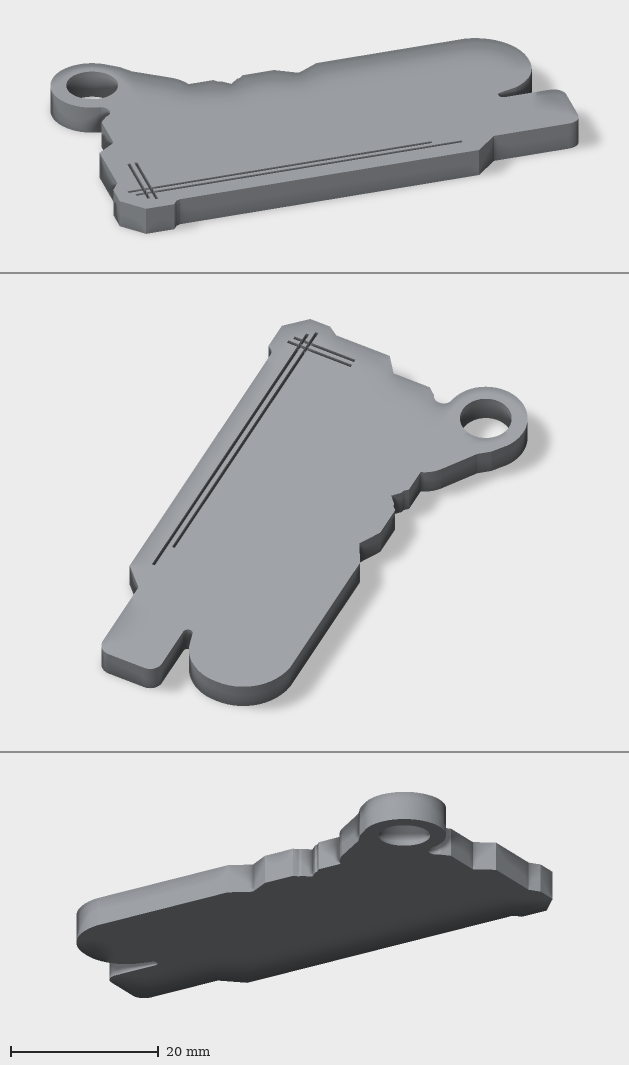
import cadquery as cq


thickness = 4.0
overall_x = 37.73
overall_y = 66.24

hole_diameter = 7.0
ring_radius = 5.65
ring_x = ring_radius
ring_y = ring_radius

left_edge = 9.18
right_edge = 36.75
notch_depth = 1.65

crotch_start = (11.2, 4.7)
crotch_crest = (12.5, 6.0)
crotch_end = (13.8, 5.1)

near_step_left = 14.92
near_step_right = 20.41
near_step_y = 4.12
middle_step_left = 22.28
middle_step_right = 30.39
middle_step_y = 1.57

foot_left = 31.84
foot_right = 34.83
foot_y = 0.55
foot_side_low = 3.37
foot_side_high = 7.36
foot_shoulder = (37.0, 7.91)
right_edge_low = 8.48

tab_left = 24.95
tab_right = 33.93
tab_corner_radius = 1.8
shoulder_low = 50.82
shoulder_high = 53.77
slot_side_y = 58.0
slot_bottom = (24.3, 57.4)
slot_exit = (23.75, 57.6)

lobe_left_y = 57.26
lobe_crest = (17.0, 64.0)
lobe_end = (23.0, 60.3)
lobe_right_bulge = (21.0, 62.75)
lobe_left_bulge = (11.5, 61.95)

upper_notch_y = 33.3
upper_notch_half = 3.0
lower_notch_y = 23.75
lower_notch_half = 2.05
lower_notch_outer_step = (0.55, 1.55)
lower_notch_inner_step = (0.65, 1.1)

neck_top_y = 18.2
neck_bend = (7.8, 17.4)
neck_bend_end = (6.94, 16.47)
neck_points = [(3.82, 11.85), (2.3, 10.6), (1.32, 9.28)]

groove_width = 0.45
groove_depth = 1.0
long_grooves = [(32.94, 2.32, 45.28), (33.95, 3.1, 49.27)]
cross_grooves = [(5.52, 26.1, 35.75), (4.52, 26.1, 35.3)]


def corner_midpoint(center_x, center_y, radius, side):
    """Middle of an upper corner arc; side is -1 for left, +1 for right."""
    offset = radius * 0.5 ** 0.5
    return center_x + side * offset, center_y + offset


def add_lower_edge(outline):
    """Stepped edge from the ring eye to the foot corner at the right."""
    return (
        outline.threePointArc(crotch_crest, crotch_end)
        .lineTo(near_step_left, near_step_y)
        .lineTo(near_step_right, near_step_y)
        .lineTo(middle_step_left, middle_step_y)
        .lineTo(middle_step_right, middle_step_y)
        .lineTo(foot_left, foot_y)
        .lineTo(foot_right, foot_y)
        .lineTo(overall_x, foot_side_low)
        .lineTo(overall_x, foot_side_high)
        .lineTo(*foot_shoulder)
        .lineTo(right_edge, right_edge_low)
    )


def add_tab(outline):
    """Right edge, sloped shoulder and round-cornered tab down into the slot."""
    right_center = (tab_right - tab_corner_radius, overall_y - tab_corner_radius)
    left_center = (tab_left + tab_corner_radius, overall_y - tab_corner_radius)
    return (
        outline.lineTo(right_edge, shoulder_low)
        .lineTo(tab_right, shoulder_high)
        .lineTo(tab_right, right_center[1])
        .threePointArc(
            corner_midpoint(*right_center, tab_corner_radius, 1),
            (right_center[0], overall_y),
        )
        .lineTo(left_center[0], overall_y)
        .threePointArc(
            corner_midpoint(*left_center, tab_corner_radius, -1),
            (tab_left, left_center[1]),
        )
        .lineTo(tab_left, slot_side_y)
        .threePointArc(slot_bottom, slot_exit)
    )


def add_lobe(outline):
    """Rounded lobe from the slot over to the left edge."""
    return (
        outline.lineTo(*lobe_end)
        .threePointArc(lobe_right_bulge, lobe_crest)
        .threePointArc(lobe_left_bulge, (left_edge, lobe_left_y))
    )


def add_left_edge(outline):
    """Left edge with two V notches, then the neck down to the ring eye."""
    notch_x = left_edge + notch_depth
    outer_x, outer_half = lower_notch_outer_step
    inner_x, inner_half = lower_notch_inner_step
    outline = (
        outline.lineTo(left_edge, upper_notch_y + upper_notch_half)
        .lineTo(notch_x, upper_notch_y)
        .lineTo(left_edge, upper_notch_y - upper_notch_half)
        .lineTo(left_edge, lower_notch_y + lower_notch_half)
        .lineTo(left_edge + outer_x, lower_notch_y + outer_half)
        .lineTo(left_edge + inner_x, lower_notch_y + inner_half)
        .lineTo(notch_x, lower_notch_y)
        .lineTo(left_edge + inner_x, lower_notch_y - inner_half)
        .lineTo(left_edge + outer_x, lower_notch_y - outer_half)
        .lineTo(left_edge, lower_notch_y - lower_notch_half)
        .lineTo(left_edge, neck_top_y)
        .threePointArc(neck_bend, neck_bend_end)
    )
    for point in neck_points:
        outline = outline.lineTo(*point)
    return outline.close()


def make_plate():
    """Plate body joined with the ring eye and pierced by the ring hole."""
    outline = cq.Workplane("XY").moveTo(ring_x, ring_y).lineTo(*crotch_start)
    for add_section in (add_lower_edge, add_tab, add_lobe, add_left_edge):
        outline = add_section(outline)
    body = outline.extrude(thickness)
    ring = cq.Workplane("XY").center(ring_x, ring_y).circle(ring_radius).extrude(thickness)
    hole = cq.Workplane("XY").center(ring_x, ring_y).circle(hole_diameter / 2).extrude(thickness)
    return body.union(ring).cut(hole)


def groove_cutter(x_min, x_max, y_min, y_max):
    """Rectangular cutter sunk from the top face by the groove depth."""
    return (
        cq.Workplane("XY")
        .box(x_max - x_min, y_max - y_min, groove_depth, centered=False)
        .translate((x_min, y_min, thickness - groove_depth))
    )


def cut_grooves(plate):
    """Two long grooves crossed by two short ones near the foot."""
    half = groove_width / 2
    for center_x, low, high in long_grooves:
        plate = plate.cut(groove_cutter(center_x - half, center_x + half, low, high))
    for center_y, low, high in cross_grooves:
        plate = plate.cut(groove_cutter(low, high, center_y - half, center_y + half))
    return plate


result = cut_grooves(make_plate())